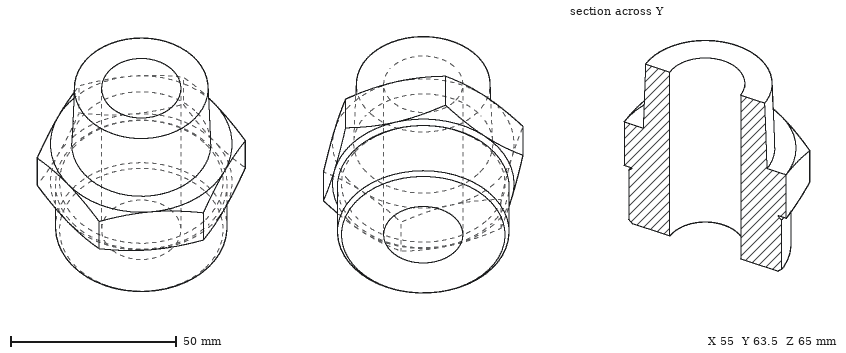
import cadquery as cq
import math

total_height = 65.0
hex_bottom = 22.0
hex_height = 17.4
hex_top = hex_bottom + hex_height

stud_diameter = 52.0
stud_chamfer = 1.227

across_flats = 55.0
across_corners = across_flats / math.cos(math.pi / 6)
hex_chamfer_angle = math.radians(30)
envelope_clearance = 1.0

taper_ratio = 1 / 16
taper_base_diameter = 42.17
taper_top_diameter = taper_base_diameter - taper_ratio * (total_height - hex_top)

bore_diameter = 24.0


def make_stud():
    """Lower cylinder, chamfered at its free end and under the hexagon."""
    end_radius = stud_diameter / 2 - stud_chamfer
    return (
        cq.Workplane("XZ")
        .lineTo(end_radius, 0)
        .lineTo(stud_diameter / 2, stud_chamfer)
        .lineTo(stud_diameter / 2, hex_bottom - stud_chamfer)
        .lineTo(end_radius, hex_bottom)
        .lineTo(0, hex_bottom)
        .close()
        .revolve(360, (0, 0, 0), (0, 1, 0))
    )


def make_hexagon():
    """Hexagon whose corners are cut by a cone at both ends."""
    prism = (
        cq.Workplane("XY")
        .workplane(offset=hex_bottom)
        .polygon(6, across_corners)
        .extrude(hex_height)
        .rotate((0, 0, 0), (0, 0, 1), 30)
    )
    face_radius = across_flats / 2
    rim_radius = across_corners / 2 + envelope_clearance
    cone_drop = (rim_radius - face_radius) * math.tan(hex_chamfer_angle)
    envelope = (
        cq.Workplane("XZ")
        .moveTo(0, hex_bottom)
        .lineTo(face_radius, hex_bottom)
        .lineTo(rim_radius, hex_bottom + cone_drop)
        .lineTo(rim_radius, hex_top - cone_drop)
        .lineTo(face_radius, hex_top)
        .lineTo(0, hex_top)
        .close()
        .revolve(360, (0, 0, 0), (0, 1, 0))
    )
    return prism.intersect(envelope)


def make_taper():
    """Upper stud, narrowing towards the top face."""
    return (
        cq.Workplane("XZ")
        .moveTo(0, hex_top)
        .lineTo(taper_base_diameter / 2, hex_top)
        .lineTo(taper_top_diameter / 2, total_height)
        .lineTo(0, total_height)
        .close()
        .revolve(360, (0, 0, 0), (0, 1, 0))
    )


bore = cq.Workplane("XY").circle(bore_diameter / 2).extrude(total_height)

result = make_stud().union(make_hexagon()).union(make_taper()).cut(bore)